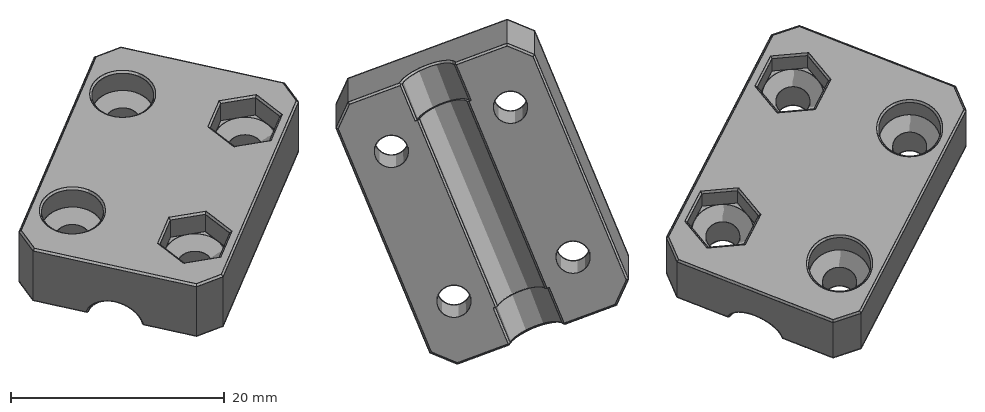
import cadquery as cq
import math

width = 20.0
length = 28.0
height = 7.0
corner_cut = 2.0
edge_break = 0.2

hole_offset_x = 6.0
hole_offset_y = 8.0
through_diameter = 3.2
recess_size = 5.8
recess_depth = 2.5
cone_depth = 1.0

channel_center_z = -0.5
middle_radius = 2.5
end_radius = 2.72
end_depth = 4.0


def hexagon_diameter(across_flats):
    """Corner-to-corner size of a hexagon."""
    return across_flats / math.cos(math.pi / 6)


def chamfered_block():
    return (
        cq.Workplane("XY")
        .box(width, length, height, centered=(True, True, False))
        .edges("|Z")
        .chamfer(corner_cut)
        .faces("<Z or >Z")
        .edges()
        .chamfer(edge_break)
    )


def screw_hole():
    """Through hole with a cone widening up to the recess floor, centred on the origin."""
    floor_z = height - recess_depth
    through_radius = through_diameter / 2
    shaft = cq.Workplane("XY").circle(through_radius).extrude(height)
    cone = cq.Solid.makeCone(
        through_radius,
        recess_size / 2,
        cone_depth,
        pnt=cq.Vector(0, 0, floor_z - cone_depth),
    )
    return shaft.union(cq.Workplane(cone))


def head_recess():
    """Round recess with a broken rim."""
    plane = cq.Workplane("XY").workplane(offset=height - recess_depth)
    bore = plane.circle(recess_size / 2).extrude(recess_depth)
    rim = cq.Solid.makeCone(
        recess_size / 2,
        recess_size / 2 + edge_break,
        edge_break,
        pnt=cq.Vector(0, 0, height - edge_break),
    )
    return bore.union(cq.Workplane(rim))


def nut_recess():
    """Hexagonal recess, corners toward +Y and -Y, with a broken rim."""
    pocket = (
        cq.Workplane("XY")
        .workplane(offset=height - recess_depth)
        .transformed(rotate=(0, 0, 90))
        .polygon(6, hexagon_diameter(recess_size))
        .extrude(recess_depth)
    )
    rim = (
        cq.Workplane("XY")
        .workplane(offset=height - edge_break)
        .transformed(rotate=(0, 0, 90))
        .polygon(6, hexagon_diameter(recess_size))
        .workplane(offset=edge_break)
        .polygon(6, hexagon_diameter(recess_size + 2 * edge_break))
        .loft(ruled=True)
    )
    return pocket.union(rim)


def channel_section(radius, section_length):
    """Round cutter centred along Y, flared where it meets the underside."""
    bore = (
        cq.Workplane("XZ")
        .center(0, channel_center_z)
        .circle(radius)
        .extrude(section_length / 2, both=True)
    )
    flare_top = math.sqrt(radius**2 - (edge_break - channel_center_z) ** 2)
    flare_bottom = flare_top + edge_break
    flare = (
        cq.Workplane("XZ")
        .polyline([(-flare_bottom, 0), (flare_bottom, 0), (flare_top, edge_break), (-flare_top, edge_break)])
        .close()
        .extrude(section_length / 2, both=True)
    )
    return bore.union(flare)


def channel():
    """Full-length channel with wider ends and conical mouths at both end faces."""
    cutter = channel_section(middle_radius, length)
    end_section = channel_section(end_radius, end_depth)
    for side in (-1, 1):
        end_center_y = side * (length - end_depth) / 2
        mouth = cq.Solid.makeCone(
            end_radius + edge_break,
            end_radius,
            edge_break,
            pnt=cq.Vector(0, side * length / 2, channel_center_z),
            dir=cq.Vector(0, -side, 0),
        )
        cutter = cutter.union(end_section.translate((0, end_center_y, 0))).union(cq.Workplane(mouth))
    return cutter


result = chamfered_block().cut(channel())
for side_x, recess in ((-1, head_recess()), (1, nut_recess())):
    hole = screw_hole().union(recess)
    for side_y in (-1, 1):
        result = result.cut(hole.translate((side_x * hole_offset_x, side_y * hole_offset_y, 0)))